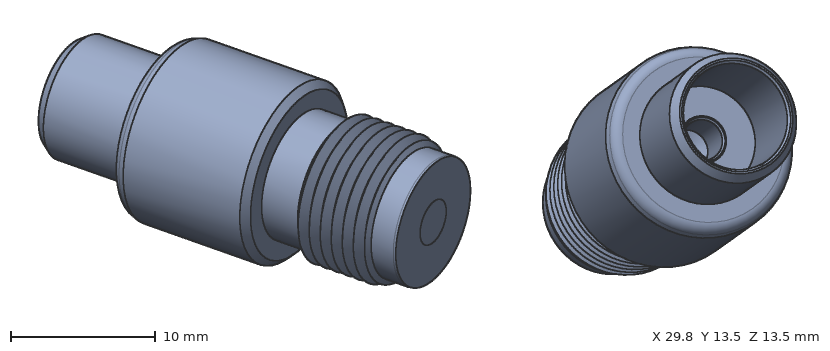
import cadquery as cq
import math

TOTAL_LENGTH = 29.8

NOSE_RADIUS = 4.6
NOSE_TIP_RADIUS = 4.08
NOSE_CHAMFER_LENGTH = 0.75
NOSE_BORE_RADIUS = 3.75
NOSE_BORE_CHAMFER = 0.18

COLLAR_START = 7.7
COLLAR_END = 18.8
COLLAR_DIAMETER = 13.5
COLLAR_RADIUS = COLLAR_DIAMETER / 2
COLLAR_FACE_RADIUS = 5.85
COLLAR_TAPER_LENGTH = 0.45
COLLAR_TAPER_ANGLE = math.radians(18)
COLLAR_CHAMFER = 0.55

NECK_RADIUS = 4.8
END_CHAMFER_LENGTH = 0.2
END_CHAMFER_DROP = 0.03

THREAD_START = 21.75
THREAD_FIRST_CREST = 22.23
THREAD_LAST_FULL_CREST = 26.75
THREAD_FULL_RIDGES = 6
THREAD_PITCH = (THREAD_LAST_FULL_CREST - THREAD_FIRST_CREST) / (THREAD_FULL_RIDGES - 1)
THREAD_ROOT_RADIUS = 4.68
THREAD_LAST_FLANK_LENGTH = 0.33
FLANK_SLOPE = math.tan(math.radians(60))

PIN_RADIUS = 1.67
PIN_BORE_RADIUS = 1.43
PIN_BORE_CHAMFER = 0.15
PIN_BORE_DEPTH = 3.58
DRILL_HALF_ANGLE = math.radians(70)

BORE_FLOOR = COLLAR_START


def revolve_about_x(profile):
    """Turn a closed profile, drawn as (x, radius), about the X axis."""
    return profile.close().revolve(360, (0, 0, 0), (1, 0, 0))


def thread_points():
    """Outline of the ridges from the neck, over every crest, and back to the neck."""
    half_pitch = THREAD_PITCH / 2
    crest_radius = THREAD_ROOT_RADIUS + half_pitch * FLANK_SLOPE
    points = [(THREAD_START, NECK_RADIUS)]
    for ridge in range(THREAD_FULL_RIDGES):
        crest = THREAD_FIRST_CREST + ridge * THREAD_PITCH
        points.append((crest, crest_radius))
        points.append((crest + half_pitch, THREAD_ROOT_RADIUS))
    last_root = points[-1][0]
    last_crest = last_root + THREAD_LAST_FLANK_LENGTH
    last_crest_radius = THREAD_ROOT_RADIUS + THREAD_LAST_FLANK_LENGTH * FLANK_SLOPE
    thread_end = last_crest + (last_crest_radius - NECK_RADIUS) / FLANK_SLOPE
    return points + [(last_crest, last_crest_radius), (thread_end, NECK_RADIUS)]


def make_housing():
    taper_radius = COLLAR_RADIUS - COLLAR_TAPER_LENGTH * math.tan(COLLAR_TAPER_ANGLE)
    edge_radius = (taper_radius - COLLAR_FACE_RADIUS) / math.cos(COLLAR_TAPER_ANGLE)
    taper_start = COLLAR_START + edge_radius * (1 - math.sin(COLLAR_TAPER_ANGLE))
    middle_angle = (math.pi / 2 + COLLAR_TAPER_ANGLE) / 2
    edge_middle = (
        COLLAR_START + edge_radius * (1 - math.sin(middle_angle)),
        COLLAR_FACE_RADIUS + edge_radius * math.cos(middle_angle),
    )

    profile = (
        cq.Workplane("XY")
        .moveTo(BORE_FLOOR, PIN_RADIUS)
        .lineTo(BORE_FLOOR, NOSE_BORE_RADIUS)
        .lineTo(NOSE_BORE_CHAMFER, NOSE_BORE_RADIUS)
        .lineTo(0, NOSE_BORE_RADIUS + NOSE_BORE_CHAMFER)
        .lineTo(0, NOSE_TIP_RADIUS)
        .lineTo(NOSE_CHAMFER_LENGTH, NOSE_RADIUS)
        .lineTo(COLLAR_START, NOSE_RADIUS)
        .lineTo(COLLAR_START, COLLAR_FACE_RADIUS)
        .threePointArc(edge_middle, (taper_start, taper_radius))
        .lineTo(taper_start + COLLAR_TAPER_LENGTH, COLLAR_RADIUS)
        .lineTo(COLLAR_END - COLLAR_CHAMFER, COLLAR_RADIUS)
        .lineTo(COLLAR_END, COLLAR_RADIUS - COLLAR_CHAMFER)
        .lineTo(COLLAR_END, NECK_RADIUS)
    )
    for point in thread_points():
        profile = profile.lineTo(*point)
    profile = (
        profile.lineTo(TOTAL_LENGTH - END_CHAMFER_LENGTH, NECK_RADIUS)
        .lineTo(TOTAL_LENGTH, NECK_RADIUS - END_CHAMFER_DROP)
        .lineTo(TOTAL_LENGTH, PIN_RADIUS)
    )
    return revolve_about_x(profile)


def make_contact_pin():
    """Pin through the housing, with a drilled socket that ends in a conical drill tip."""
    bore_end = BORE_FLOOR + PIN_BORE_DEPTH
    drill_tip = bore_end + PIN_BORE_RADIUS / math.tan(DRILL_HALF_ANGLE)
    profile = (
        cq.Workplane("XY")
        .moveTo(drill_tip, 0)
        .lineTo(bore_end, PIN_BORE_RADIUS)
        .lineTo(BORE_FLOOR + PIN_BORE_CHAMFER, PIN_BORE_RADIUS)
        .lineTo(BORE_FLOOR, PIN_BORE_RADIUS + PIN_BORE_CHAMFER)
        .lineTo(BORE_FLOOR, PIN_RADIUS)
        .lineTo(TOTAL_LENGTH, PIN_RADIUS)
        .lineTo(TOTAL_LENGTH, 0)
    )
    return revolve_about_x(profile)


housing = make_housing()
contact_pin = make_contact_pin()

result = cq.Compound.makeCompound([housing.val(), contact_pin.val()])